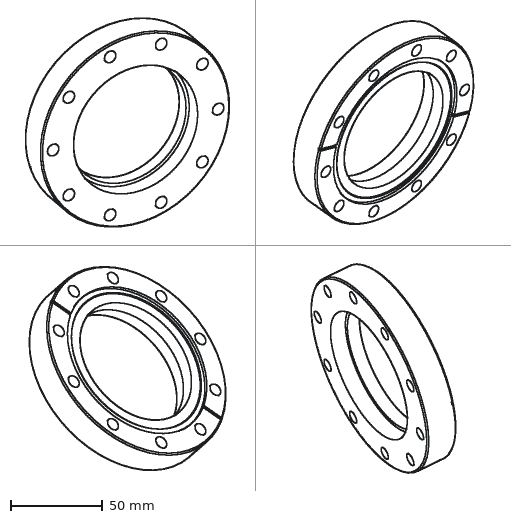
import cadquery as cq

outer_diameter = 117.4
thickness = 19.0
edge_chamfer = 0.8

bore_diameter = 73.0
socket_diameter = 77.0
socket_depth = 9.7

recess_diameter = 91.3
knife_diameter = 85.1
knife_base_diameter = 84.4
knife_tip_depth = 0.7
recess_depth = 1.9
inner_floor_depth = 1.3

bolt_count = 10
bolt_circle_diameter = 102.5
bolt_hole_diameter = 7.0

groove_angle = 360 / bolt_count / 2
groove_width = 1.4
groove_depth = 1.2

sealing_face = -thickness / 2
back_face = thickness / 2


def flange_blank():
    blank = cq.Workplane("YZ", origin=(sealing_face, 0, 0)).circle(outer_diameter / 2).extrude(thickness)
    return blank.edges().chamfer(edge_chamfer)


def bore_and_sealing_recess():
    """Revolved void: the stepped bore and the recess around the knife edge."""
    socket_shoulder = back_face - socket_depth
    inner_floor = sealing_face + inner_floor_depth
    return (
        cq.Workplane("XY")
        .moveTo(sealing_face, 0)
        .lineTo(sealing_face, recess_diameter / 2)
        .lineTo(sealing_face + recess_depth, recess_diameter / 2)
        .lineTo(sealing_face + knife_tip_depth, knife_diameter / 2)
        .lineTo(inner_floor, knife_base_diameter / 2)
        .lineTo(inner_floor, bore_diameter / 2)
        .lineTo(socket_shoulder, bore_diameter / 2)
        .lineTo(socket_shoulder, socket_diameter / 2)
        .lineTo(back_face, socket_diameter / 2)
        .lineTo(back_face, 0)
        .close()
        .revolve(360, (0, 0, 0), (1, 0, 0))
    )


def bolt_holes():
    return (
        cq.Workplane("YZ", origin=(sealing_face, 0, 0))
        .polarArray(bolt_circle_diameter / 2, 0, 360, bolt_count)
        .circle(bolt_hole_diameter / 2)
        .extrude(thickness)
    )


def leak_check_grooves():
    """Two opposite radial grooves running from the recess to the rim."""
    bar = cq.Workplane("XY").box(groove_depth, outer_diameter, groove_width)
    bar = bar.translate((sealing_face + groove_depth / 2, 0, 0))
    bar = bar.rotate((0, 0, 0), (1, 0, 0), groove_angle)
    recess_core = (
        cq.Workplane("YZ", origin=(sealing_face, 0, 0))
        .circle(recess_diameter / 2)
        .extrude(groove_depth)
    )
    return bar.cut(recess_core)


result = (
    flange_blank()
    .cut(bore_and_sealing_recess())
    .cut(bolt_holes())
    .cut(leak_check_grooves())
)